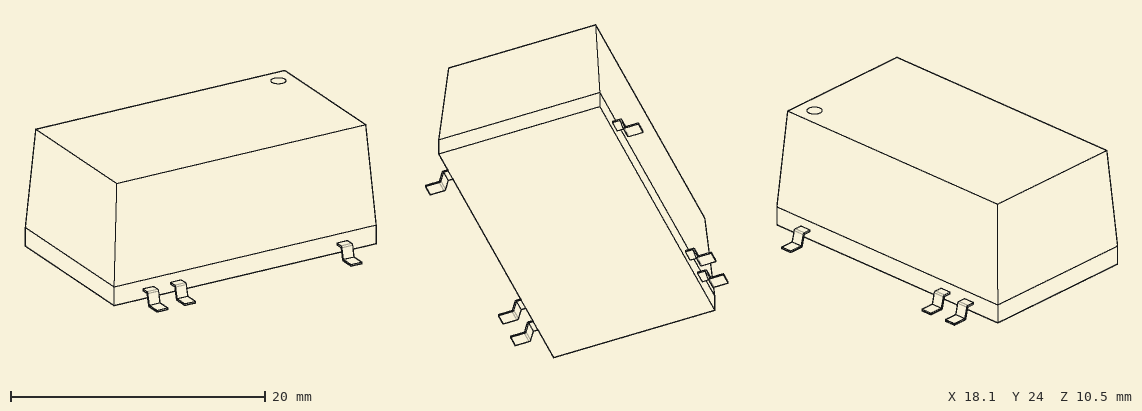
import cadquery as cq
import math

case_length = 24.0
case_width = 13.7
case_bottom = 0.3
split_height = 1.92
case_top = 10.45
taper_inset = 0.6

marker_radius = 0.6
marker_depth = 0.1
marker_x = -4.73
marker_y = 9.9

lead_span = 18.1
lead_width = 0.98
lead_thickness = 0.15
lead_top = 1.18
knee_x = 7.6
shin_angle = 14.0
bend_radius = lead_thickness
end_lead_y = 8.88
lead_pitch = 2.55
lead_rows = [end_lead_y, -end_lead_y + lead_pitch, -end_lead_y]


def make_base():
    """Straight-sided plate that carries the leads."""
    return (
        cq.Workplane("XY")
        .workplane(offset=case_bottom)
        .rect(case_width, case_length)
        .extrude(split_height - case_bottom)
    )


def make_marker():
    """Thin disc whose upper face is level with the cover top."""
    return (
        cq.Workplane("XY")
        .workplane(offset=case_top - marker_depth)
        .center(marker_x, marker_y)
        .circle(marker_radius)
        .extrude(marker_depth)
    )


def make_cover(marker):
    """Tapered block with a recess that holds the marker."""
    block = (
        cq.Workplane("XY")
        .workplane(offset=split_height)
        .rect(case_width, case_length)
        .workplane(offset=case_top - split_height)
        .rect(case_width - 2 * taper_inset, case_length - 2 * taper_inset)
        .loft(ruled=True)
    )
    return block.cut(marker)


def make_lead(row_y):
    """Right-hand lead: shoulder against the base, leaning shin and flat foot.

    Each bend is rounded on its outside about a sharp inside corner.
    """
    lean = math.tan(math.radians(shin_angle))
    shin_width = lead_thickness / math.cos(math.radians(shin_angle))
    foot_tip = lead_span / 2
    shoulder_end = case_width / 2
    shoulder_bottom = lead_top - lead_thickness

    def shin_outer_x(z):
        return knee_x + lean * (lead_top - z)

    def shin_inner_x(z):
        return shin_outer_x(z) - shin_width

    knee_outer = (shin_outer_x(lead_top), lead_top)
    knee_inner = (shin_inner_x(shoulder_bottom), shoulder_bottom)
    ankle_inner = (shin_outer_x(lead_thickness), lead_thickness)
    ankle_outer = (shin_inner_x(0), 0)
    profile = [
        (shoulder_end, lead_top),
        knee_outer,
        ankle_inner,
        (foot_tip, lead_thickness),
        (foot_tip, 0),
        ankle_outer,
        knee_inner,
        (shoulder_end, shoulder_bottom),
    ]
    lead = (
        cq.Workplane("XZ", origin=(0, row_y, 0))
        .polyline(profile)
        .close()
        .extrude(lead_width / 2, both=True)
    )

    def round_edge(body, corner):
        x, z = corner
        nearest = cq.selectors.NearestToPointSelector((x, row_y, z))
        return body.edges("|Y").edges(nearest).fillet(bend_radius)

    lead = round_edge(lead, knee_outer)
    return round_edge(lead, ankle_outer)


base = make_base()
marker = make_marker()
cover = make_cover(marker)

leads = []
for row_y in lead_rows:
    right_lead = make_lead(row_y)
    left_lead = right_lead.mirror("YZ")
    leads.extend([right_lead.val(), left_lead.val()])

result = cq.Compound.makeCompound([base.val(), cover.val(), marker.val(), *leads])